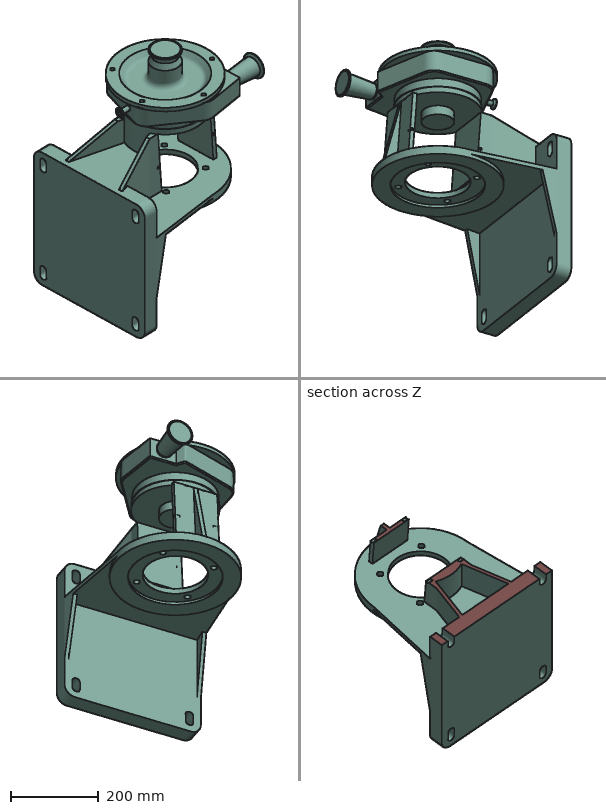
import cadquery as cq
import math


plate_width = 350.0
plate_height = 369.5
plate_thickness = 39.0
plate_front_y = -250.0
plate_back_y = plate_front_y + plate_thickness
plate_corner_radius = 26.5
slot_spacing_x = 290.5
slot_spacing_z = 299.5
slot_length = 37.0
slot_width = 20.0
slot_middle_z = 185.0

shelf_top_z = 270.0
shelf_thickness = 11.0
disc_thickness = 21.0
disc_radius = 150.0
motor_hole_radius = 75.0
motor_recess_radius = 108.0
motor_recess_depth = 7.0
motor_bolt_circle_radius = 92.0
motor_bolt_radius = 7.0
shelf_bottom_z = shelf_top_z - shelf_thickness
disc_bottom_z = shelf_top_z - disc_thickness

gusset_reach = 35.0
gusset_bottom_z = 101.5
gusset_thickness = 10.0

lantern_top_z = 435.5
lantern_height = lantern_top_z - shelf_top_z
lantern_half_width = 55.5
lantern_radius = 101.0
lantern_lean = 12.0
front_wall_inner_y = -69.5
front_wall_outer_y = -109.0
cheek_thickness = 10.0
rear_wall_inner_y = 101.0
rear_wall_thickness = 11.5
screw_hole_radius = 3.0
screw_hole_depth = 12.0
screw_hole_z = 340.0
screw_hole_front_y = -80.0
screw_hole_rear_y = 102.0
rear_rib_foot_y = 145.0
rear_rib_thickness = 11.0
side_rib_thickness = 10.0
side_rib_angle = 15.0
side_rib_root_y = -90.5
side_rib_end_y = -235.0
side_rib_slope = math.tan(math.radians(side_rib_angle))
web_thickness = 10.0

hub_radius = 37.5
hub_bottom_z = 412.5
lower_collar_radius = lantern_radius
upper_collar_radius = 99.0
collar_step_z = 450.5
casing_bottom_z = 472.0
casing_top_z = 524.5
casing_apothem = 114.5
casing_corner_radius = 34.0
casing_sharp_radius = 5.0
casing_bottom_chamfer = 3.0
casing_side_count = 5
outlet_block_x = 125.0
outlet_block_y = 116.0

cover_radius = 135.5
cover_top_z = 535.5
cover_bolt_circle_radius = 121.0
cover_bolt_radius = 5.5
dish_rim_radius = 105.0
dish_wall_foot_radius = 94.0
dish_floor_radius = 84.0
dish_wall_drop = dish_rim_radius - dish_wall_foot_radius
dish_blend_radius = (dish_wall_foot_radius - dish_floor_radius) / math.sin(math.pi / 4)
dish_depth = dish_wall_drop + dish_blend_radius * (1 - math.cos(math.pi / 4))
dish_floor_z = cover_top_z - dish_depth

inlet_top_z = 603.0
inlet_radius = 38.5
inlet_neck_radius = 31.5
inlet_shoulder_z = 570.0
inlet_neck_z = 585.0
inlet_blend_radius = 15.0

outlet_x = 90.5
outlet_z = 500.0
outlet_end_y = 199.5
outlet_collar_radius = 17.5
outlet_collar_length = 3.0
outlet_cone_start_y = outlet_block_y + outlet_collar_length
outlet_cone_end_y = 182.0
outlet_small_radius = 19.0
outlet_large_radius = 25.0
outlet_flange_radius = 32.0

drain_z = 501.0
drain_root_y = -108.5
drain_end_y = -151.5
drain_radius = 6.5
drain_bore_radius = 4.0
drain_flange_radius = 12.5

clamp_rim = 3.0
clamp_taper = 4.0
clamp_bevel_width = 3.5
clamp_bevel_depth = 1.0


def polar(radius, angle):
    return (radius * math.cos(math.radians(angle)), radius * math.sin(math.radians(angle)))


def cylinder(radius, bottom_z, top_z):
    return cq.Workplane("XY").workplane(offset=bottom_z).circle(radius).extrude(top_z - bottom_z)


def side_prism(points, x_from, x_to):
    """Extrude a (Y, Z) outline along X."""
    return cq.Workplane("YZ").workplane(offset=x_from).polyline(points).close().extrude(x_to - x_from)


def revolve_pipe(points):
    """Revolve a (radius, height) outline about Z."""
    return cq.Workplane("XZ").polyline(points).close().revolve(360, (0, 0, 0), (0, 1, 0))


def clamp_flange(neck_radius, rim_radius, end):
    """Outline points of a clamp flange, from the neck to the edge of its end face."""
    rim_start = end - clamp_rim
    return [
        (neck_radius, rim_start - clamp_taper),
        (rim_radius, rim_start),
        (rim_radius, end - clamp_bevel_depth),
        (rim_radius - clamp_bevel_width, end),
    ]


def make_wall_plate():
    plate = (
        cq.Workplane("XY")
        .box(plate_width, plate_thickness, plate_height, centered=(True, False, False))
        .translate((0, plate_front_y, 0))
        .edges("|Y")
        .fillet(plate_corner_radius)
    )
    slots = (
        cq.Workplane("XZ", origin=(0, plate_back_y, slot_middle_z))
        .rarray(slot_spacing_x, slot_spacing_z, 2, 2)
        .slot2D(slot_length, slot_width, 90)
        .extrude(plate_thickness)
    )
    return plate.cut(slots)


def shelf_plan(inset):
    """Closed shelf outline with straight tapered sides, drawn in by an inset along X."""
    corner_x = plate_width / 2 - inset
    side_x = disc_radius - inset
    return (
        cq.Workplane("XY")
        .moveTo(-corner_x, plate_back_y)
        .lineTo(corner_x, plate_back_y)
        .lineTo(side_x, 0)
        .lineTo(-side_x, 0)
        .close()
    )


def make_shelf():
    shelf = shelf_plan(0).extrude(shelf_thickness).translate((0, 0, shelf_bottom_z))
    shelf = shelf.union(cylinder(disc_radius, disc_bottom_z, shelf_top_z))
    shelf = shelf.cut(cylinder(motor_hole_radius, disc_bottom_z, shelf_top_z))
    shelf = shelf.cut(cylinder(motor_recess_radius, disc_bottom_z, disc_bottom_z + motor_recess_depth))
    bolts = (
        cq.Workplane("XY")
        .workplane(offset=disc_bottom_z)
        .polarArray(motor_bolt_circle_radius, 45, 360, 4)
        .circle(motor_bolt_radius)
        .extrude(disc_thickness)
    )
    return shelf.cut(bolts)


def make_gussets():
    """Pair of triangles below the shelf, flush with its tapered sides."""
    outline = [
        (plate_back_y, shelf_bottom_z),
        (plate_back_y + gusset_reach, shelf_bottom_z),
        (plate_back_y, gusset_bottom_z),
    ]
    wedge = side_prism(outline, -plate_width / 2, plate_width / 2)
    outer = shelf_plan(0).extrude(shelf_top_z)
    inner = shelf_plan(gusset_thickness).extrude(shelf_top_z)
    return wedge.intersect(outer).cut(inner)


def rib_outer_x(y):
    """Distance from the YZ plane to the outer face of a side rib."""
    return lantern_half_width + side_rib_slope * (front_wall_outer_y - y)


def make_side_rib():
    """Rib on the -X side from the front wall to the wall plate, splayed outwards."""
    width_x = side_rib_thickness / math.cos(math.radians(side_rib_angle))
    outer_root_x = -rib_outer_x(side_rib_root_y)
    outer_end_x = -rib_outer_x(side_rib_end_y)
    plan = [
        (outer_root_x, side_rib_root_y),
        (outer_end_x, side_rib_end_y),
        (outer_end_x + width_x, side_rib_end_y),
        (outer_root_x + width_x, side_rib_root_y),
    ]
    rib = cq.Workplane("XY").workplane(offset=shelf_top_z).polyline(plan).close().extrude(lantern_height)
    side = [
        (side_rib_root_y, shelf_top_z),
        (side_rib_root_y, lantern_top_z),
        (front_wall_outer_y, lantern_top_z),
        (side_rib_end_y, plate_height),
        (side_rib_end_y, shelf_top_z),
    ]
    return rib.intersect(side_prism(side, -plate_width / 2, plate_width / 2))


def make_web():
    """Flat web between the side ribs, level with the top of the wall plate."""
    root_x = rib_outer_x(side_rib_root_y) - side_rib_thickness / 2
    end_x = rib_outer_x(plate_back_y) - side_rib_thickness / 2
    plan = [
        (-root_x, side_rib_root_y),
        (root_x, side_rib_root_y),
        (end_x, plate_back_y),
        (-end_x, plate_back_y),
    ]
    web = cq.Workplane("XY").polyline(plan).close().extrude(-web_thickness)
    return web.translate((0, 0, plate_height))


def make_lantern():
    front_room = side_prism(
        [
            (front_wall_inner_y, shelf_top_z),
            (front_wall_inner_y - lantern_lean, lantern_top_z),
            (front_wall_outer_y, lantern_top_z),
            (front_wall_outer_y, shelf_top_z),
        ],
        -lantern_half_width,
        lantern_half_width,
    )
    front_wall = front_room.intersect(cylinder(lantern_radius, shelf_top_z, lantern_top_z))
    cheek_plan = [
        (-lantern_half_width, front_wall_outer_y),
        (-lantern_half_width, front_wall_inner_y),
        (-lantern_half_width + 2 * cheek_thickness, front_wall_inner_y),
        (-lantern_half_width + cheek_thickness, front_wall_outer_y),
    ]
    cheek = (
        cq.Workplane("XY").workplane(offset=shelf_top_z).polyline(cheek_plan).close().extrude(lantern_height)
    )
    cheek = cheek.intersect(front_room).union(make_side_rib())
    front_wall = front_wall.union(cheek).union(cheek.mirror("YZ"))

    rear_outer_y = rear_wall_inner_y + rear_wall_thickness
    rear_wall = side_prism(
        [
            (rear_wall_inner_y, shelf_top_z),
            (rear_outer_y, shelf_top_z),
            (rear_outer_y - lantern_lean, lantern_top_z),
            (rear_wall_inner_y - lantern_lean, lantern_top_z),
        ],
        -lantern_half_width,
        lantern_half_width,
    )
    rear_rib = side_prism(
        [
            (rear_wall_inner_y, shelf_top_z),
            (rear_rib_foot_y, shelf_top_z),
            (rear_outer_y - lantern_lean, lantern_top_z),
        ],
        -rear_rib_thickness / 2,
        rear_rib_thickness / 2,
    )
    lantern = front_wall.union(rear_wall).union(rear_rib)

    for x_from in (-lantern_half_width, lantern_half_width - screw_hole_depth):
        holes = (
            cq.Workplane("YZ")
            .workplane(offset=x_from)
            .pushPoints([(screw_hole_front_y, screw_hole_z), (screw_hole_rear_y, screw_hole_z)])
            .circle(screw_hole_radius)
            .extrude(screw_hole_depth)
        )
        lantern = lantern.cut(holes)
    return lantern


def round_corner(solid, point, radius):
    """Fillet the vertical edge that passes through a plan point."""
    reach = 0.5
    box = cq.selectors.BoxSelector(
        (point[0] - reach, point[1] - reach, casing_bottom_z - reach),
        (point[0] + reach, point[1] + reach, casing_top_z + reach),
    )
    return solid.edges("|Z").edges(box).fillet(radius)


def make_casing():
    """Five-sided casing with an outlet block on the side between its 0 and 72 degree corners."""
    side_angle = 360 / casing_side_count
    corner_radius = casing_apothem / math.cos(math.radians(side_angle / 2))
    corners = [polar(corner_radius, side_angle * i) for i in range(casing_side_count)]
    first, second = corners[0], corners[1]
    share = (second[1] - outlet_block_y) / (second[1] - first[1])
    block_root_x = second[0] + share * (first[0] - second[0])
    outline = [
        first,
        (outlet_block_x, outlet_block_y),
        (block_root_x, outlet_block_y),
    ] + corners[1:]
    casing = (
        cq.Workplane("XY")
        .workplane(offset=casing_bottom_z)
        .polyline(outline)
        .close()
        .extrude(casing_top_z - casing_bottom_z)
    )
    casing = round_corner(casing, second, casing_sharp_radius)
    for corner in [first] + corners[2:]:
        casing = round_corner(casing, corner, casing_corner_radius)
    return casing.faces("<Z").chamfer(casing_bottom_chamfer)


def make_cover():
    cover = cylinder(cover_radius, casing_top_z, cover_top_z)
    bolts = (
        cq.Workplane("XY")
        .workplane(offset=casing_top_z)
        .polarArray(cover_bolt_circle_radius, 0, 360, casing_side_count)
        .circle(cover_bolt_radius)
        .extrude(cover_top_z - casing_top_z)
    )
    return cover.cut(bolts)


def make_dish():
    """Sunk bowl of the cover: a 45 degree wall blended into a flat floor."""
    blend_middle = (
        dish_floor_radius + dish_blend_radius * math.sin(math.pi / 8),
        dish_floor_z + dish_blend_radius * (1 - math.cos(math.pi / 8)),
    )
    return (
        cq.Workplane("XZ")
        .moveTo(0, dish_floor_z)
        .lineTo(dish_floor_radius, dish_floor_z)
        .threePointArc(blend_middle, (dish_wall_foot_radius, cover_top_z - dish_wall_drop))
        .lineTo(dish_rim_radius, cover_top_z)
        .lineTo(0, cover_top_z)
        .close()
        .revolve(360, (0, 0, 0), (0, 1, 0))
    )


def make_inlet():
    blend_z = dish_floor_z + inlet_blend_radius
    blend_foot_radius = inlet_radius + inlet_blend_radius
    blend_step = inlet_blend_radius * (1 - math.cos(math.pi / 4))
    outline = (
        cq.Workplane("XZ")
        .moveTo(0, dish_floor_z)
        .lineTo(blend_foot_radius, dish_floor_z)
        .threePointArc((inlet_radius + blend_step, dish_floor_z + blend_step), (inlet_radius, blend_z))
        .lineTo(inlet_radius, inlet_shoulder_z)
        .lineTo(inlet_neck_radius, inlet_neck_z)
    )
    for point in clamp_flange(inlet_neck_radius, inlet_radius, inlet_top_z):
        outline = outline.lineTo(*point)
    return outline.lineTo(0, inlet_top_z).close().revolve(360, (0, 0, 0), (0, 1, 0))


def make_outlet():
    outline = [
        (0, outlet_block_y),
        (outlet_collar_radius, outlet_block_y),
        (outlet_collar_radius, outlet_cone_start_y),
        (outlet_small_radius, outlet_cone_start_y),
        (outlet_large_radius, outlet_cone_end_y),
        *clamp_flange(outlet_large_radius, outlet_flange_radius, outlet_end_y),
        (0, outlet_end_y),
    ]
    pipe = revolve_pipe(outline).rotate((0, 0, 0), (1, 0, 0), -90)
    return pipe.translate((outlet_x, 0, outlet_z))


def make_drain():
    end = -drain_end_y
    outline = [
        (0, -drain_root_y),
        (drain_radius, -drain_root_y),
        *clamp_flange(drain_radius, drain_flange_radius, end),
        (drain_bore_radius, end),
        (drain_bore_radius, casing_apothem),
        (0, casing_apothem),
    ]
    return revolve_pipe(outline).rotate((0, 0, 0), (1, 0, 0), 90).translate((0, 0, drain_z))


pump = (
    cylinder(hub_radius, hub_bottom_z, lantern_top_z)
    .union(cylinder(lower_collar_radius, lantern_top_z, collar_step_z))
    .union(cylinder(upper_collar_radius, collar_step_z, casing_bottom_z))
    .union(make_casing())
    .union(make_cover())
    .cut(make_dish())
    .union(make_inlet())
    .union(make_outlet())
    .union(make_drain())
)
result = (
    make_wall_plate()
    .union(make_shelf())
    .union(make_gussets())
    .union(make_lantern())
    .union(make_web())
    .union(pump)
)